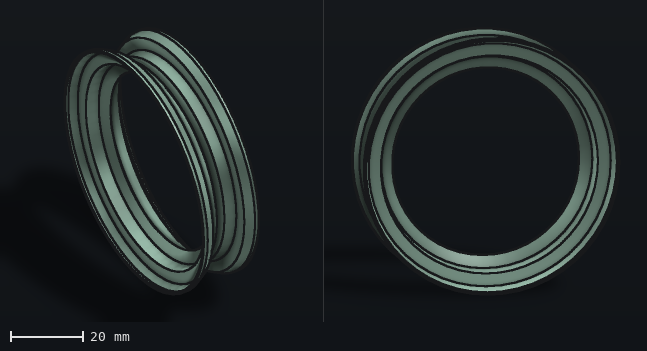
import cadquery as cq

rim_radius = 35.9
width = 18.0
half_width = width / 2

rim_start = 7.75
shoulder_radius = 34.5
shoulder_offset = 5.1
seat_radius = 31.1
seat_offset = 4.7
groove_edge_radius = 30.4
groove_edge_offset = 1.2
groove_bottom_radius = 27.85

lip_thickness = 0.5
lip_inner_radius = rim_radius - lip_thickness
lip_inner_start = 8.1
shoulder_inner_radius = 34.1
shoulder_inner_offset = 5.8
seat_inner_radius = 30.6
seat_inner_offset = 5.4
ridge_edge_radius = 29.7
ridge_edge_offset = 1.7
bore_radius = 26.3

outer_half = [
    (rim_radius, half_width),
    (rim_radius, rim_start),
    (shoulder_radius, shoulder_offset),
    (seat_radius, seat_offset),
    (groove_edge_radius, groove_edge_offset),
]
inner_half = [
    (lip_inner_radius, half_width),
    (lip_inner_radius, lip_inner_start),
    (shoulder_inner_radius, shoulder_inner_offset),
    (seat_inner_radius, seat_inner_offset),
    (ridge_edge_radius, ridge_edge_offset),
]


def mirrored_path(half, middle_radius):
    """Join a half path to its mirror image through a point on the mid-plane."""
    other_half = [(radius, -y) for radius, y in reversed(half)]
    return half + [(middle_radius, 0)] + other_half


outer_path = mirrored_path(outer_half, groove_bottom_radius)
inner_path = mirrored_path(inner_half, bore_radius)

wall_section = cq.Workplane("XY").polyline(outer_path + inner_path[::-1]).close()
result = wall_section.revolve(360, (0, 0, 0), (0, 1, 0))